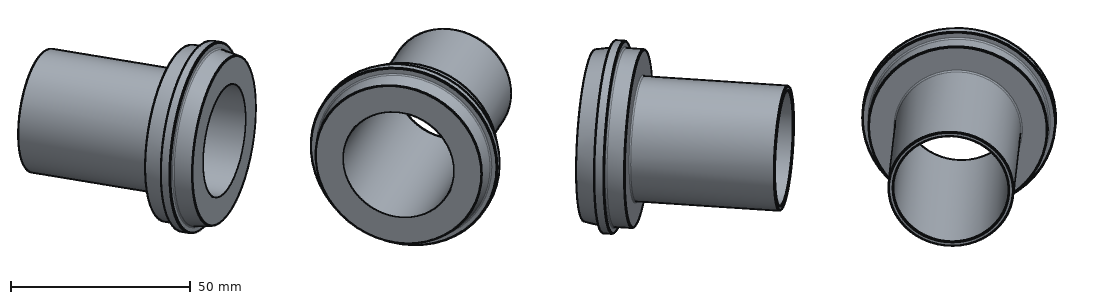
import cadquery as cq
import math

BORE_DIAMETER = 32.0
TUBE_DIAMETER = 35.0
TUBE_LENGTH = 41.0

SHOULDER_DIAMETER = 50.0
SHOULDER_LENGTH = 5.5
COLLAR_DIAMETER = 54.0
COLLAR_LENGTH = 3.0
NOSE_BASE_DIAMETER = 50.0
NOSE_LENGTH = 5.5
NOSE_TAPER_DEGREES = 10.0

EDGE_CHAMFER = 0.3
NOSE_TIP_CHAMFER = 0.2
CORNER_FILLET = 0.4

TUBE_START = 0.0
SHOULDER_START = TUBE_START + TUBE_LENGTH
COLLAR_START = SHOULDER_START + SHOULDER_LENGTH
NOSE_START = COLLAR_START + COLLAR_LENGTH
NOSE_END = NOSE_START + NOSE_LENGTH
NOSE_TIP_DIAMETER = NOSE_BASE_DIAMETER - 2 * NOSE_LENGTH * math.tan(math.radians(NOSE_TAPER_DEGREES))

MATCH_TOLERANCE = 1e-3

OUTER_EDGES = [
    (TUBE_START, BORE_DIAMETER),
    (TUBE_START, TUBE_DIAMETER),
    (SHOULDER_START, SHOULDER_DIAMETER),
    (COLLAR_START, COLLAR_DIAMETER),
    (NOSE_START, COLLAR_DIAMETER),
]
NOSE_TIP_EDGE = (NOSE_END, NOSE_TIP_DIAMETER)
INNER_CORNERS = [
    (SHOULDER_START, TUBE_DIAMETER),
    (COLLAR_START, SHOULDER_DIAMETER),
    (NOSE_START, NOSE_BASE_DIAMETER),
]


def revolved_body():
    """Half section of the bored, stepped part, revolved about the X axis."""
    bore_radius = BORE_DIAMETER / 2
    tube_radius = TUBE_DIAMETER / 2
    shoulder_radius = SHOULDER_DIAMETER / 2
    collar_radius = COLLAR_DIAMETER / 2
    nose_base_radius = NOSE_BASE_DIAMETER / 2
    nose_tip_radius = NOSE_TIP_DIAMETER / 2
    section = [
        (TUBE_START, bore_radius),
        (TUBE_START, tube_radius),
        (SHOULDER_START, tube_radius),
        (SHOULDER_START, shoulder_radius),
        (COLLAR_START, shoulder_radius),
        (COLLAR_START, collar_radius),
        (NOSE_START, collar_radius),
        (NOSE_START, nose_base_radius),
        (NOSE_END, nose_tip_radius),
        (NOSE_END, bore_radius),
    ]
    axis_start = (0, 0)
    axis_end = (1, 0)
    return cq.Workplane("XY").polyline(section).close().revolve(360, axis_start, axis_end)


def circular_edge(body, station, diameter):
    """Select the circular edge of the given diameter at a station along X."""

    def matches(edge):
        at_station = abs(edge.Center().x - station) < MATCH_TOLERANCE
        has_diameter = abs(2 * edge.radius() - diameter) < MATCH_TOLERANCE
        return at_station and has_diameter

    return body.edges("%CIRCLE").filter(matches)


def chamfer_outer_edges(body):
    """Break the outer edges of each step and the mouth of the bore at the tube end."""
    for station, diameter in OUTER_EDGES:
        body = circular_edge(body, station, diameter).chamfer(EDGE_CHAMFER)
    return body


def chamfer_nose_tip(body):
    """Break the outer edge where the taper meets the end face."""
    return circular_edge(body, *NOSE_TIP_EDGE).chamfer(NOSE_TIP_CHAMFER)


def fillet_inner_corners(body):
    """Round the inner corners where one step rises from the next."""
    for station, diameter in INNER_CORNERS:
        body = circular_edge(body, station, diameter).fillet(CORNER_FILLET)
    return body


body = revolved_body()
body = chamfer_outer_edges(body)
body = chamfer_nose_tip(body)
result = fillet_inner_corners(body)